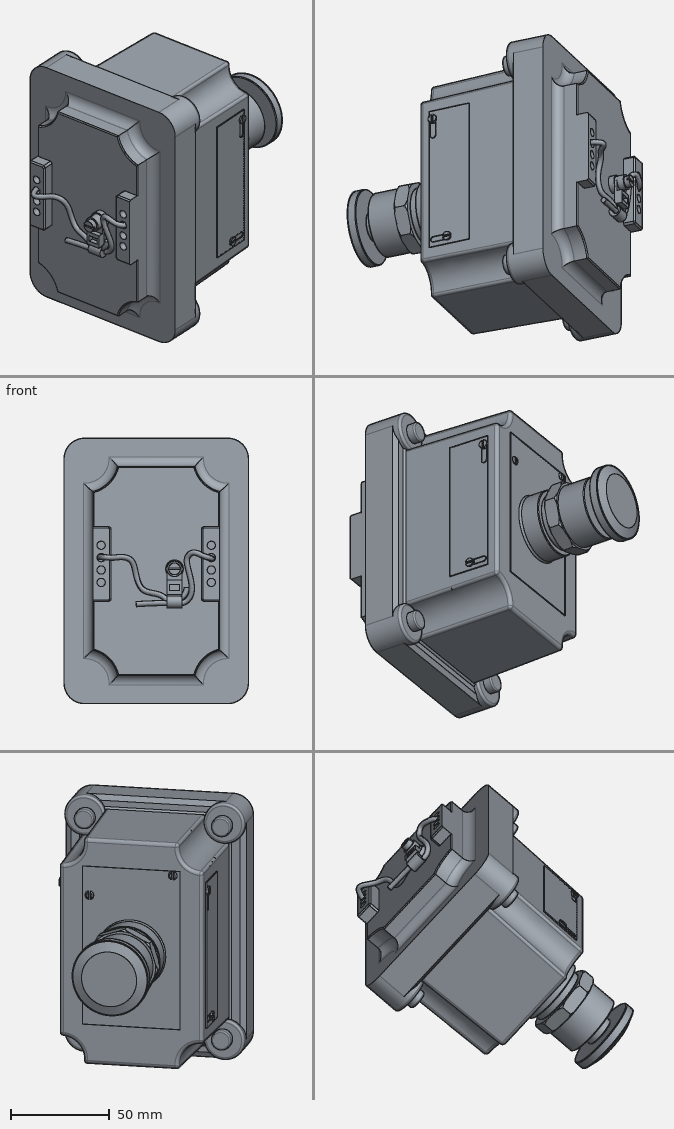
import cadquery as cq
import math


FLANGE_X = 93.8
FLANGE_Z = 134.9
PAD_RADIUS = 10.6
PAD_X = FLANGE_X / 2 - PAD_RADIUS
PAD_Z = FLANGE_Z / 2 - PAD_RADIUS
FLANGE_EDGE_Y = 16.6
FLANGE_SLOPE_RISE = 1.5
FLANGE_SLOPE_RUN = 2.8
FLANGE_TOP_Y = FLANGE_EDGE_Y + FLANGE_SLOPE_RISE
PAD_TOP_Y = 21.1
PAD_ROUND = 1.3

SCREW_X = 35.7
SCREW_Z = 56.1
SCREW_RADIUS = 5.1
SCREW_HEIGHT = 4.6
SCREW_ROUND = 0.7

BODY_X = 76.9
BODY_Z = 120.8
BODY_SCALLOP = 10.5
BODY_FOOT = 1.0
BODY_BASE_Y = FLANGE_TOP_Y + BODY_FOOT
BODY_END_Y = 73.7
BODY_DRAFT = math.radians(1.2)
BODY_EDGE_ROUND = 1.5
BODY_END_ROUND = 2.0

PLUG_X = 64.3
PLUG_Z = 106.2
PLUG_SCALLOP = 17.0
PLUG_END_Y = -12.4
PLUG_FILLET = 4.8
PLUG_CHAMFER = 0.6
ROOT_MARGIN = 1.5
PLUG_ROOT_Y = PLUG_END_Y + 1.5

NUT_RADIUS = 19.0
NUT_SIDES = 8
NUT_TURN = 5
NUT_START_Y = 89.7
NUT_END_Y = 97.0
NUT_CHAMFER = 1.0
BUTTON_RADIUS = 19.7
BUTTON_RIM_Y = 122.6
BUTTON_END_Y = 124.7
BUTTON_STEPS = [(17.5, 85.5), (15.0, NUT_START_Y), (16.6, 112.6), (8.0, 117.8), (BUTTON_RADIUS, BUTTON_RIM_Y)]
BUTTON_EDGE_CHAMFER = 0.5
BUTTON_FLARE = 0.7
BUTTON_FLARE_HEIGHT = 1.8
BUTTON_CROWN_RADIUS = 14.4

STRIP_WIDTH = 9.3
STRIP_TOP_Z = 22.6
STRIP_BOTTOM_Z = -15.5
STRIP_END_Y = -18.7
STRIP_CORNER_CHAMFER = 1.0
STRIP_FACE_CHAMFER = 0.7
TERMINAL_X = 28.0
TERMINAL_TOP_Z = 13.0
TERMINAL_PITCH = 6.3
TERMINAL_COUNT = 4
TERMINAL_RADIUS = 2.1
TERMINAL_DEPTH = 4.5

CLIP_X = 9.3
CLIP_WIDTH = 7.8
EARTH_Z = 1.0
CLIP_BACK_Y = -15.5
EARTH_STEPS = [(4.5, CLIP_BACK_Y), (3.9, -20.5), (3.0, -23.3)]
EARTH_SLOT_WIDTH = 0.9
EARTH_SLOT_DEPTH = 1.0
CLIP_STRAP_Y = -17.0
CLIP_BLOCK_TOP_Z = -4.6
CLIP_BLOCK_BOTTOM_Z = -12.0
CLIP_BLOCK_Y = -19.7
WINDOW_X = 5.1
WINDOW_Z = 3.1
WINDOW_CENTER_Z = -8.4
WINDOW_DEPTH = 3.0
CLAMP_RADIUS = 3.1
CLAMP_Y = -15.7
CLAMP_Z = -15.7

WIRE_RADIUS = 1.3
WIRE_START_Y = STRIP_END_Y + TERMINAL_DEPTH
LEFT_WIRE = [
    (-27.5, WIRE_START_Y, 7.0),
    (-27.5, -21.4, 7.0),
    (-25.5, -23.5, 6.9),
    (-21.8, -21.8, 6.7),
    (-17.2, -18.5, 7.0),
    (-13.3, -16.7, 5.8),
    (-10.9, -14.5, 1.2),
    (-9.3, -13.3, -5.4),
    (-6.6, -13.5, -9.5),
    (0.0, -15.0, -11.7),
    (6.0, -16.0, -16.0),
]
RIGHT_WIRE = [
    (27.7, WIRE_START_Y, 6.3),
    (27.2, -19.3, 6.6),
    (24.0, -20.8, 7.6),
    (18.5, -21.1, 9.3),
    (15.7, -19.5, 6.6),
    (15.9, -18.7, 2.5),
    (17.6, -17.0, -5.1),
    (17.6, -15.3, -11.8),
    (15.9, -14.4, -14.8),
    (12.0, -14.7, -16.5),
]
LOOSE_WIRE = [(-10.2, -16.7, -16.9), (-6.0, -16.6, -16.6), (6.0, -16.5, -16.3)]
STUB_WIRE = [(15.4, -16.0, -8.4), (14.8, -16.0, -11.2), (12.0, -16.0, -14.2)]

LABEL_THICKNESS = 0.6
LABEL_START_Y = 45.5
LABEL_END_Y = 68.0
LABEL_Z = 76.7
LABEL_SCREW_RADIUS = 2.2
LABEL_SCREW_HEIGHT = 0.9
LABEL_SCREW_SLOT = 1.0
LABEL_SLOT_WIDTH = 3.0
UPPER_SLOT_TRAVEL = 9.1
LOWER_SLOT_TRAVEL = 8.0
UPPER_SCREW_Y = 66.0
UPPER_SCREW_Z = 33.6
LOWER_SCREW_Y = 57.7
LOWER_SCREW_Z = -34.2
END_LABEL_X = 50.8
END_LABEL_TOP_Z = 44.9
END_LABEL_BOTTOM_Z = -38.3
END_LABEL_THICKNESS = 0.5
END_LABEL_SCREW_HEIGHT = 1.3
END_LABEL_SCREW_CHAMFER = 0.7
END_LABEL_SCREWS = [(-21.7, 42.6), (21.7, 29.8)]


def along_y(y):
    """Workplane at height y whose local x is X, local y is Z, and which extrudes toward -Y."""
    return cq.Workplane("XZ", origin=(0, y, 0))


def cylinder(radius, start_y, end_y, x=0, z=0):
    return along_y(start_y).center(x, z).circle(radius).extrude(start_y - end_y)


def scalloped_outline(plane, size_x, size_z, radius):
    """Rectangle whose corners are cut away by circles centred on the pads."""
    hx = size_x / 2
    hz = size_z / 2
    edge_x = PAD_X - math.sqrt(radius**2 - (hz - PAD_Z) ** 2)
    edge_z = PAD_Z - math.sqrt(radius**2 - (hx - PAD_X) ** 2)
    mid_x = PAD_X - radius * math.sqrt(0.5)
    mid_z = PAD_Z - radius * math.sqrt(0.5)
    return (
        plane.moveTo(-edge_x, hz)
        .lineTo(edge_x, hz)
        .threePointArc((mid_x, mid_z), (hx, edge_z))
        .lineTo(hx, -edge_z)
        .threePointArc((mid_x, -mid_z), (edge_x, -hz))
        .lineTo(-edge_x, -hz)
        .threePointArc((-mid_x, -mid_z), (-hx, -edge_z))
        .lineTo(-hx, edge_z)
        .threePointArc((-mid_x, mid_z), (-edge_x, hz))
        .close()
    )


def tapered_block(start_y, end_y, start_inset, end_inset):
    """Stretch of the body, pulled in all round by the given inset at each end."""
    height = end_y - start_y
    block = (
        along_y(start_y)
        .rect(BODY_X - 2 * start_inset, BODY_Z - 2 * start_inset)
        .workplane(offset=-height)
        .rect(BODY_X - 2 * end_inset, BODY_Z - 2 * end_inset)
        .loft(ruled=True)
    )
    for sx in (-1, 1):
        for sz in (-1, 1):
            scallop = cq.Solid.makeCone(
                BODY_SCALLOP + start_inset,
                BODY_SCALLOP + end_inset,
                height,
                cq.Vector(sx * PAD_X, start_y, sz * PAD_Z),
                cq.Vector(0, 1, 0),
            )
            block = block.cut(cq.Workplane(scallop))
    return block


def make_flange():
    slab = along_y(0).rect(FLANGE_X, FLANGE_Z).extrude(-FLANGE_EDGE_Y)
    slope = (
        along_y(FLANGE_EDGE_Y)
        .rect(FLANGE_X, FLANGE_Z)
        .workplane(offset=-FLANGE_SLOPE_RISE)
        .rect(FLANGE_X - 2 * FLANGE_SLOPE_RUN, FLANGE_Z - 2 * FLANGE_SLOPE_RUN)
        .loft(ruled=True)
    )
    flange = slab.union(slope)
    for sx in (-1, 1):
        for sz in (-1, 1):
            corner = (
                along_y(0)
                .center(sx * FLANGE_X / 2, sz * FLANGE_Z / 2)
                .rect(2 * PAD_RADIUS, 2 * PAD_RADIUS)
                .extrude(-PAD_TOP_Y)
            )
            pad = cylinder(PAD_RADIUS, 0, PAD_TOP_Y, sx * PAD_X, sz * PAD_Z)
            flange = flange.cut(corner).union(pad.faces(">Y").edges().fillet(PAD_ROUND))
    return flange


def make_cover_screws():
    screws = cq.Workplane()
    head_y = PAD_TOP_Y + SCREW_HEIGHT
    for sx in (-1, 1):
        for sz in (-1, 1):
            screw = cylinder(SCREW_RADIUS, FLANGE_EDGE_Y, head_y, sx * SCREW_X, sz * SCREW_Z)
            screws = screws.add(screw.faces(">Y").edges().fillet(SCREW_ROUND))
    return screws


def make_body():
    end_inset = (BODY_END_Y - BODY_BASE_Y) * math.tan(BODY_DRAFT)
    body = tapered_block(BODY_BASE_Y, BODY_END_Y, 0, end_inset)
    body = body.edges("(not <Y) and (not >Y)").fillet(BODY_EDGE_ROUND)
    body = body.faces(">Y").edges().fillet(BODY_END_ROUND)
    foot = tapered_block(FLANGE_TOP_Y, BODY_BASE_Y, -BODY_FOOT, 0)
    return body.union(foot)


def add_plug(base):
    plug = scalloped_outline(along_y(0), PLUG_X, PLUG_Z, PLUG_SCALLOP).extrude(-PLUG_END_Y)
    plug = plug.faces("<Y").edges().chamfer(PLUG_CHAMFER)
    reach_x = PLUG_X / 2 + ROOT_MARGIN
    reach_z = PLUG_Z / 2 + ROOT_MARGIN
    root = cq.selectors.BoxSelector(
        (-reach_x, -ROOT_MARGIN, -reach_z),
        (reach_x, ROOT_MARGIN, reach_z),
    )
    return base.union(plug).edges(root).fillet(PLUG_FILLET)


def make_button():
    first_radius = BUTTON_STEPS[0][0]
    button = cq.Workplane(
        cq.Solid.makeCone(
            first_radius + BUTTON_FLARE,
            first_radius,
            BUTTON_FLARE_HEIGHT,
            cq.Vector(0, BODY_END_Y, 0),
            cq.Vector(0, 1, 0),
        )
    )
    start_y = BODY_END_Y
    for radius, end_y in BUTTON_STEPS:
        button = button.union(cylinder(radius, start_y, end_y).edges().chamfer(BUTTON_EDGE_CHAMFER))
        start_y = end_y
    crown = cq.Solid.makeCone(
        BUTTON_RADIUS,
        BUTTON_CROWN_RADIUS,
        BUTTON_END_Y - BUTTON_RIM_Y,
        cq.Vector(0, BUTTON_RIM_Y, 0),
        cq.Vector(0, 1, 0),
    )
    nut = (
        along_y(NUT_START_Y)
        .polygon(NUT_SIDES, 2 * NUT_RADIUS)
        .extrude(NUT_START_Y - NUT_END_Y)
        .rotate((0, 0, 0), (0, 1, 0), -NUT_TURN)
    )
    nut_blank = cylinder(NUT_RADIUS, NUT_START_Y, NUT_END_Y).edges().chamfer(NUT_CHAMFER)
    return button.union(cq.Workplane(crown)).union(nut.intersect(nut_blank))


def make_strip(side):
    """Terminal strip flush with the plug side wall; side is -1 or 1."""
    center_x = side * (PLUG_X - STRIP_WIDTH) / 2
    strip = (
        along_y(0)
        .center(center_x, (STRIP_TOP_Z + STRIP_BOTTOM_Z) / 2)
        .rect(STRIP_WIDTH, STRIP_TOP_Z - STRIP_BOTTOM_Z)
        .extrude(-STRIP_END_Y)
    )
    inner, outer = ("<X", ">X") if side > 0 else (">X", "<X")
    strip = strip.faces(inner).edges("|Y").chamfer(STRIP_CORNER_CHAMFER)
    strip = strip.faces("<Y").edges(f"not {outer}").chamfer(STRIP_FACE_CHAMFER)
    holes = (
        along_y(STRIP_END_Y + TERMINAL_DEPTH)
        .pushPoints([(side * TERMINAL_X, TERMINAL_TOP_Z - i * TERMINAL_PITCH) for i in range(TERMINAL_COUNT)])
        .circle(TERMINAL_RADIUS)
        .extrude(TERMINAL_DEPTH)
    )
    return strip.cut(holes)


def clip_box(size_x, top_z, bottom_z, start_y, end_y):
    return (
        along_y(start_y)
        .center(CLIP_X, (top_z + bottom_z) / 2)
        .rect(size_x, top_z - bottom_z)
        .extrude(start_y - end_y)
    )


def make_earth_clip():
    clip = clip_box(CLIP_WIDTH, EARTH_Z, CLAMP_Z, CLIP_BACK_Y, CLIP_STRAP_Y)
    block = clip_box(CLIP_WIDTH, CLIP_BLOCK_TOP_Z, CLIP_BLOCK_BOTTOM_Z, CLIP_BACK_Y, CLIP_BLOCK_Y)
    window = clip_box(
        WINDOW_X,
        WINDOW_CENTER_Z + WINDOW_Z / 2,
        WINDOW_CENTER_Z - WINDOW_Z / 2,
        CLIP_BLOCK_Y + WINDOW_DEPTH,
        CLIP_BLOCK_Y,
    )
    clamp = (
        cq.Workplane("YZ", origin=(CLIP_X - CLIP_WIDTH / 2, 0, 0))
        .center(CLAMP_Y, CLAMP_Z)
        .circle(CLAMP_RADIUS)
        .extrude(CLIP_WIDTH)
    )
    clip = clip.union(block.cut(window)).union(clamp)
    start_y = PLUG_ROOT_Y
    for radius, end_y in EARTH_STEPS:
        clip = clip.union(cylinder(radius, start_y, end_y, CLIP_X, EARTH_Z))
        start_y = end_y
    slot = clip_box(
        CLIP_WIDTH,
        EARTH_Z + EARTH_SLOT_WIDTH / 2,
        EARTH_Z - EARTH_SLOT_WIDTH / 2,
        start_y + EARTH_SLOT_DEPTH,
        start_y,
    )
    return clip.cut(slot)


def make_wire(points):
    """Round wire swept along a smooth curve through the points."""
    path = cq.Workplane().spline([cq.Vector(*p) for p in points])
    start = cq.Plane(origin=points[0], normal=path.val().tangentAt(0).toTuple())
    return cq.Workplane(start).circle(WIRE_RADIUS).sweep(path)


def make_label_screw(plane, x, y, slot_x, slot_y):
    head = plane.center(x, y).circle(LABEL_SCREW_RADIUS).extrude(LABEL_THICKNESS + LABEL_SCREW_HEIGHT)
    slot = (
        plane.workplane(offset=LABEL_THICKNESS)
        .center(x, y)
        .rect(slot_x, slot_y)
        .extrude(LABEL_SCREW_HEIGHT)
    )
    return head.cut(slot)


def make_side_label():
    """Label on the +X wall with two slots, each holding a slotted screw at one end."""
    middle_y = (LABEL_START_Y + LABEL_END_Y) / 2
    wall_x = BODY_X / 2 - (middle_y - BODY_BASE_Y) * math.tan(BODY_DRAFT)
    plane = cq.Workplane(
        cq.Plane(
            origin=(wall_x, middle_y, 0),
            xDir=(-math.sin(BODY_DRAFT), math.cos(BODY_DRAFT), 0),
            normal=(math.cos(BODY_DRAFT), math.sin(BODY_DRAFT), 0),
        )
    )
    label = plane.rect(LABEL_END_Y - LABEL_START_Y, LABEL_Z).extrude(LABEL_THICKNESS)
    upright = (
        plane.center(UPPER_SCREW_Y - middle_y, UPPER_SCREW_Z - UPPER_SLOT_TRAVEL / 2)
        .slot2D(UPPER_SLOT_TRAVEL + LABEL_SLOT_WIDTH, LABEL_SLOT_WIDTH, 90)
        .extrude(LABEL_THICKNESS)
    )
    level = (
        plane.center(LOWER_SCREW_Y - middle_y + LOWER_SLOT_TRAVEL / 2, LOWER_SCREW_Z)
        .slot2D(LOWER_SLOT_TRAVEL + LABEL_SLOT_WIDTH, LABEL_SLOT_WIDTH)
        .extrude(LABEL_THICKNESS)
    )
    across = 2 * LABEL_SCREW_RADIUS
    upper = make_label_screw(plane, UPPER_SCREW_Y - middle_y, UPPER_SCREW_Z, LABEL_SCREW_SLOT, across)
    lower = make_label_screw(plane, LOWER_SCREW_Y - middle_y, LOWER_SCREW_Z, across, LABEL_SCREW_SLOT)
    return label.cut(upright).cut(level).union(upper).union(lower)


def make_end_label():
    """Plate on the button end of the body, held by two slotted screws."""
    plate = (
        along_y(BODY_END_Y)
        .center(0, (END_LABEL_TOP_Z + END_LABEL_BOTTOM_Z) / 2)
        .rect(END_LABEL_X, END_LABEL_TOP_Z - END_LABEL_BOTTOM_Z)
        .extrude(-END_LABEL_THICKNESS)
    )
    head_y = BODY_END_Y + END_LABEL_SCREW_HEIGHT
    for x, z in END_LABEL_SCREWS:
        screw = cylinder(LABEL_SCREW_RADIUS, BODY_END_Y, head_y, x, z)
        screw = screw.faces(">Y").chamfer(END_LABEL_SCREW_CHAMFER)
        slot = (
            along_y(head_y)
            .center(x, z)
            .rect(LABEL_SCREW_SLOT, 2 * LABEL_SCREW_RADIUS)
            .extrude(LABEL_SCREW_HEIGHT)
        )
        plate = plate.union(screw.cut(slot))
    return plate


result = add_plug(make_flange()).union(make_body())
result = result.union(make_button()).union(make_end_label())
for cover_screw in make_cover_screws().vals():
    result = result.union(cq.Workplane(cover_screw))
side_label = make_side_label()
result = result.union(side_label).union(side_label.mirror("YZ"))
for side in (-1, 1):
    result = result.union(make_strip(side))
result = result.union(make_earth_clip())
for wire_points in (LEFT_WIRE, RIGHT_WIRE, LOOSE_WIRE, STUB_WIRE):
    result = result.union(make_wire(wire_points))